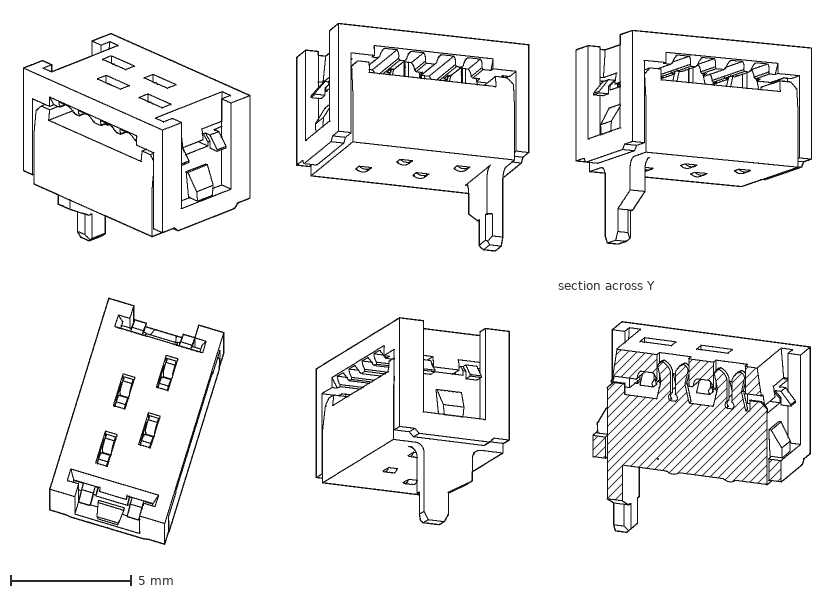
import cadquery as cq
import math


COVER_LENGTH = 8.46
COVER_WIDTH = 5.01
COVER_TOP = 5.11
COVER_CAVITY_LENGTH = 7.33
SLAB_BOTTOM = 3.88
LEG_BOTTOM = 0.2
LEG_BEVEL = 0.195
LEG_FLAT_WIDTH = 3.23
WINDOW_WIDTH = 2.825
WINDOW_SILL = 1.16

SLOT_INNER_X = 3.155
SLOT_WIDTH = 3.82
SLOT_TAPER_ANGLE = 8.8
TAB_WIDTH = 1.17
TAB_BOTTOM = 3.42

ENTRY_LENGTH = 5.28
ENTRY_TOP = 4.315
ENTRY_ANGLE = 60.0
GROOVE_SHIFT = 0.04
GROOVE_OFFSETS = (-1.85, -0.67, 0.67, 1.85)
GROOVE_RADIUS = 0.415
GROOVE_AXIS_Z = 3.95
GROOVE_CREST = 4.255

BASE_LENGTH = 7.19
BASE_TOP = 3.155
BASE_BEND_Z = 2.225
BASE_FACE_TILT = 6.7
HORN_TOP = 3.62
HORN_INNER_X = 2.81
HORN_GAP = 1.37
HORN_CHAMFER = 0.28

LATCH_OUTER_X = 4.145
LATCH_LIP_X = 3.7
LATCH_TOP = 2.37
LATCH_SLOPE_END = 1.61
LATCH_TOP_WIDTH = 1.12
LATCH_BOTTOM_WIDTH = 0.85
NUB_OUTER_X = 4.035
NUB_Y = 1.06
NUB_WIDTH = 0.51
NUB_SLOPE_END = 3.09
NUB_BOTTOM = 3.02

PITCH = 1.27
ROW_Y = 0.745
CONTACT_THICKNESS = 0.4
POCKET_LENGTH = 1.405
POCKET_WIDTH = 0.51
PRONG_FOOT_X = 0.74
PRONG_WAIST = (0.55, 3.95)
PRONG_SHOULDER = (0.685, 4.57)
PRONG_TIP = (0.465, 4.82)
PRONG_OUTER_BULGE = 0.0635
PRONG_INNER_BULGE = 0.07
THROAT_Z = 4.4
WIRE_GAP = 0.195
WIRE_HOLE_RADIUS = 0.19
WIRE_HOLE_Z = 3.29
TAIL_WIDTH = 0.56
TAIL_DROP = 0.1

PIN_THICKNESS = 0.7
PIN_HALF_WIDTH = 1.11
PIN_ROOT_RADIUS = 0.39
PIN_SHOULDER_Z = -1.37
PIN_STEP_Y = -0.02
PIN_STEP_Z = -1.99
PIN_TIP_START = -2.95
PIN_BOTTOM = -3.29
PIN_TIP_TAPER = 0.195
PIN_CHAMFER_X = 0.23
PIN_CHAMFER_Y = 0.18
PIN_END_CHAMFER = 0.19

SIDES = (-1, 1)
CONTACT_CENTRES = [
    (-1.5 * PITCH, ROW_Y),
    (-0.5 * PITCH, -ROW_Y),
    (0.5 * PITCH, ROW_Y),
    (1.5 * PITCH, -ROW_Y),
]


def block(x0, x1, y0, y1, z0, z1):
    return cq.Workplane("XY").box(x1 - x0, y1 - y0, z1 - z0, centered=False).translate((x0, y0, z0))


def mirrored_block(half_x, half_y, z0, z1):
    """Box centred on X and Y."""
    return block(-half_x, half_x, -half_y, half_y, z0, z1)


def xz_prism(outline, width, y=0.0):
    """Extrude a closed XZ outline by width, centred on y."""
    return outline.extrude(width / 2, both=True).translate((0, y, 0))


def yz_prism(points, x0, x1):
    return cq.Workplane("YZ").polyline(points).close().extrude(x1 - x0).translate((x0, 0, 0))


def arc_middle(start, end, bulge):
    """Middle point of an arc that bows by bulge to the right of the chord from start to end."""
    run = end[0] - start[0]
    rise = end[1] - start[1]
    chord = math.hypot(run, rise)
    return (
        (start[0] + end[0]) / 2 + bulge * rise / chord,
        (start[1] + end[1]) / 2 - bulge * run / chord,
    )


def on_both_ends(solid):
    """The -X feature together with its mirror image on the +X end."""
    return solid.union(solid.mirror("YZ"))


def slot_opening():
    """Opening at the -X end; its slab face and its two Y ends lean inward going down."""
    depth = COVER_TOP - TAB_BOTTOM
    lean = depth * math.tan(math.radians(SLOT_TAPER_ANGLE))
    wall_x = COVER_CAVITY_LENGTH / 2
    half_top = SLOT_WIDTH / 2
    side = [
        (-wall_x, COVER_TOP),
        (-SLOT_INNER_X, COVER_TOP),
        (-SLOT_INNER_X - lean, TAB_BOTTOM),
        (-wall_x, TAB_BOTTOM),
    ]
    end = [
        (-half_top, COVER_TOP),
        (half_top, COVER_TOP),
        (half_top - lean, TAB_BOTTOM),
        (lean - half_top, TAB_BOTTOM),
    ]
    swept = xz_prism(cq.Workplane("XZ").polyline(side).close(), SLOT_WIDTH)
    return swept.intersect(yz_prism(end, -COVER_LENGTH / 2, 0))


def wire_groove(x):
    """Round groove along Y with a flat crest and a small flare where it meets the slab."""
    crest_rise = GROOVE_CREST - GROOVE_AXIS_Z
    crest_half = math.sqrt(GROOVE_RADIUS**2 - crest_rise**2)
    mid_angle = math.asin(crest_rise / GROOVE_RADIUS) / 2
    mid_x = GROOVE_RADIUS * math.cos(mid_angle)
    mid_z = GROOVE_AXIS_Z + GROOVE_RADIUS * math.sin(mid_angle)
    flare = GROOVE_RADIUS + GROOVE_AXIS_Z - SLAB_BOTTOM
    outline = (
        cq.Workplane("XZ")
        .moveTo(x - flare, SLAB_BOTTOM)
        .lineTo(x - GROOVE_RADIUS, GROOVE_AXIS_Z)
        .threePointArc((x - mid_x, mid_z), (x - crest_half, GROOVE_CREST))
        .lineTo(x + crest_half, GROOVE_CREST)
        .threePointArc((x + mid_x, mid_z), (x + GROOVE_RADIUS, GROOVE_AXIS_Z))
        .lineTo(x + flare, SLAB_BOTTOM)
        .close()
    )
    return xz_prism(outline, COVER_WIDTH)


def make_cover():
    half_width = COVER_WIDTH / 2
    cavity_x = COVER_CAVITY_LENGTH / 2
    entry_x = ENTRY_LENGTH / 2
    cover = mirrored_block(COVER_LENGTH / 2, half_width, LEG_BOTTOM, COVER_TOP)
    cover = cover.cut(mirrored_block(cavity_x, half_width, LEG_BOTTOM, SLAB_BOTTOM))
    tab = block(-cavity_x, -entry_x, -TAB_WIDTH / 2, TAB_WIDTH / 2, TAB_BOTTOM, SLAB_BOTTOM)
    cover = cover.union(on_both_ends(tab)).cut(on_both_ends(slot_opening()))

    window_y = WINDOW_WIDTH / 2
    window = block(-COVER_LENGTH / 2, -cavity_x, -window_y, window_y, WINDOW_SILL, COVER_TOP)
    cover = cover.cut(on_both_ends(window))

    entry_depth = (ENTRY_TOP - SLAB_BOTTOM) / math.tan(math.radians(ENTRY_ANGLE))
    bevel_inner = LEG_FLAT_WIDTH / 2
    for side in SIDES:
        entry = [
            (side * half_width, SLAB_BOTTOM),
            (side * half_width, ENTRY_TOP),
            (side * (half_width - entry_depth), SLAB_BOTTOM),
        ]
        leg_relief = [
            (side * bevel_inner, LEG_BOTTOM),
            (side * (bevel_inner + LEG_BEVEL), LEG_BOTTOM + LEG_BEVEL),
            (side * half_width, LEG_BOTTOM + LEG_BEVEL),
            (side * half_width, LEG_BOTTOM),
        ]
        cover = cover.cut(yz_prism(entry, -entry_x, entry_x))
        cover = cover.cut(yz_prism(leg_relief, -COVER_LENGTH / 2, COVER_LENGTH / 2))

    for offset in GROOVE_OFFSETS:
        cover = cover.cut(wire_groove(GROOVE_SHIFT + offset))
    for x, y in CONTACT_CENTRES:
        pocket = mirrored_block(POCKET_LENGTH / 2, POCKET_WIDTH / 2, SLAB_BOTTOM, COVER_TOP)
        cover = cover.cut(pocket.translate((x, y, 0)))
    return cover


def end_latch():
    """Wedge on the -X end of the base; it narrows downward and rests on the window sill."""
    base_x = BASE_LENGTH / 2
    side = [
        (-base_x, LATCH_TOP),
        (-LATCH_LIP_X, LATCH_TOP),
        (-LATCH_OUTER_X, LATCH_SLOPE_END),
        (-LATCH_OUTER_X, WINDOW_SILL),
        (-base_x, WINDOW_SILL),
    ]
    end = [
        (-LATCH_TOP_WIDTH / 2, LATCH_TOP),
        (LATCH_TOP_WIDTH / 2, LATCH_TOP),
        (LATCH_BOTTOM_WIDTH / 2, WINDOW_SILL),
        (-LATCH_BOTTOM_WIDTH / 2, WINDOW_SILL),
    ]
    wedge = xz_prism(cq.Workplane("XZ").polyline(side).close(), LATCH_TOP_WIDTH)
    return wedge.intersect(yz_prism(end, -LATCH_OUTER_X, 0))


def end_nub(y):
    """Small sloped catch on a -X horn, filling the horn's chamfer."""
    base_x = BASE_LENGTH / 2
    points = [
        (-base_x + HORN_CHAMFER, HORN_TOP),
        (-base_x, HORN_TOP),
        (-NUB_OUTER_X, NUB_SLOPE_END),
        (-NUB_OUTER_X, NUB_BOTTOM),
        (-base_x + HORN_CHAMFER, NUB_BOTTOM),
    ]
    return xz_prism(cq.Workplane("XZ").polyline(points).close(), NUB_WIDTH, y)


def make_base():
    half_width = COVER_WIDTH / 2
    half_length = BASE_LENGTH / 2
    setback = (HORN_TOP - BASE_BEND_Z) * math.tan(math.radians(BASE_FACE_TILT))
    section = [
        (-half_width, 0),
        (half_width, 0),
        (half_width, BASE_BEND_Z),
        (half_width - setback, HORN_TOP),
        (setback - half_width, HORN_TOP),
        (-half_width, BASE_BEND_Z),
    ]
    base = yz_prism(section, -half_length, half_length)
    base = base.edges("|Y and >Z").chamfer(HORN_CHAMFER)
    base = base.cut(mirrored_block(HORN_INNER_X, half_width, BASE_TOP, HORN_TOP))
    base = base.cut(mirrored_block(half_length, HORN_GAP / 2, BASE_TOP, HORN_TOP))
    base = base.union(on_both_ends(end_latch()))
    for side in SIDES:
        base = base.union(on_both_ends(end_nub(side * NUB_Y)))
    return base


def make_contact(x, y):
    """Forked blade with a wire gap ending in a round hole, and a rounded tail under the base."""
    throat = (WIRE_GAP / 2, THROAT_Z)
    outer_mid = arc_middle(PRONG_SHOULDER, PRONG_TIP, PRONG_OUTER_BULGE)
    inner_mid = arc_middle(PRONG_TIP, throat, PRONG_INNER_BULGE)
    fork = (
        cq.Workplane("XZ")
        .moveTo(0, BASE_TOP)
        .lineTo(PRONG_FOOT_X, BASE_TOP)
        .lineTo(*PRONG_WAIST)
        .lineTo(*PRONG_SHOULDER)
        .threePointArc(outer_mid, PRONG_TIP)
        .threePointArc(inner_mid, throat)
        .lineTo(throat[0], WIRE_HOLE_Z)
        .lineTo(0, WIRE_HOLE_Z)
        .mirrorY()
    )
    tail = (
        cq.Workplane("XZ")
        .moveTo(-TAIL_WIDTH / 2, 0)
        .threePointArc((0, -TAIL_DROP), (TAIL_WIDTH / 2, 0))
        .close()
    )
    hole = cq.Workplane("XZ").center(0, WIRE_HOLE_Z).circle(WIRE_HOLE_RADIUS)
    contact = xz_prism(fork, CONTACT_THICKNESS).cut(xz_prism(hole, CONTACT_THICKNESS))
    return contact.union(xz_prism(tail, CONTACT_THICKNESS)).translate((x, y, 0))


def make_pin():
    """Flat board pin at the -X end, stepped to half width and pointed at the tip."""
    outer_x = -BASE_LENGTH / 2
    inner_x = outer_x + PIN_THICKNESS
    root_half = PIN_HALF_WIDTH + PIN_ROOT_RADIUS
    arc_inset = PIN_ROOT_RADIUS * (1 - math.sqrt(0.5))
    pin = (
        cq.Workplane("YZ")
        .moveTo(-root_half, 0)
        .threePointArc((-PIN_HALF_WIDTH - arc_inset, -arc_inset), (-PIN_HALF_WIDTH, -PIN_ROOT_RADIUS))
        .lineTo(-PIN_HALF_WIDTH, PIN_SHOULDER_Z)
        .lineTo(PIN_STEP_Y, PIN_STEP_Z)
        .lineTo(PIN_STEP_Y, PIN_TIP_START)
        .lineTo(PIN_STEP_Y + PIN_TIP_TAPER, PIN_BOTTOM)
        .lineTo(PIN_HALF_WIDTH - PIN_TIP_TAPER, PIN_BOTTOM)
        .lineTo(PIN_HALF_WIDTH, PIN_TIP_START)
        .lineTo(PIN_HALF_WIDTH, -PIN_ROOT_RADIUS)
        .threePointArc((PIN_HALF_WIDTH + arc_inset, -arc_inset), (root_half, 0))
        .close()
        .extrude(PIN_THICKNESS)
        .translate((outer_x, 0, 0))
    )
    for edge_y, inward in ((PIN_STEP_Y, 1), (PIN_HALF_WIDTH, -1)):
        corner = (
            cq.Workplane("XY", origin=(0, 0, PIN_BOTTOM))
            .moveTo(inner_x, edge_y)
            .lineTo(inner_x - PIN_CHAMFER_X, edge_y)
            .lineTo(inner_x, edge_y + inward * PIN_CHAMFER_Y)
            .close()
            .extrude(PIN_STEP_Z - PIN_BOTTOM)
        )
        pin = pin.cut(corner)
    return pin.edges("|Y and >X and <Z").chamfer(PIN_END_CHAMFER)


result = make_base().union(make_cover()).union(make_pin())
for contact_x, contact_y in CONTACT_CENTRES:
    result = result.union(make_contact(contact_x, contact_y))